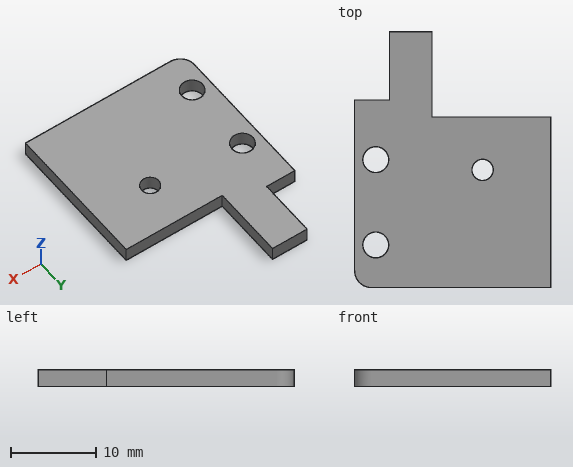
import cadquery as cq

width = 23.0
total_length = 30
thickness = 2.0
corner_radius = 2.0
left_edge_length = 22.0
right_edge_length = 20.0

tab_left = 4.08
tab_width = 5.0
tab_right = tab_left + tab_width

mount_hole_diameter = 3
mount_hole_x = 2.5
mount_hole_y = 5.0
mount_hole_spacing = 10.0
small_hole_diameter = 2.45
small_hole_center = (15, 13.8)

mount_hole_centers = [
    (mount_hole_x, mount_hole_y),
    (mount_hole_x, mount_hole_y + mount_hole_spacing),
]

outline = [
    (0, 0),
    (width, 0),
    (width, right_edge_length),
    (tab_right, right_edge_length),
    (tab_right, total_length),
    (tab_left, total_length),
    (tab_left, left_edge_length),
    (0, left_edge_length),
]
plate = cq.Workplane("XY").polyline(outline).close().extrude(thickness)

plate = plate.edges("|Z").edges(cq.selectors.NearestToPointSelector((0, 0, thickness / 2)))
plate = plate.fillet(corner_radius)


def through_holes(centers, diameter):
    return cq.Workplane("XY").pushPoints(centers).circle(diameter / 2).extrude(thickness)


result = plate.cut(through_holes(mount_hole_centers, mount_hole_diameter))
result = result.cut(through_holes([small_hole_center], small_hole_diameter))